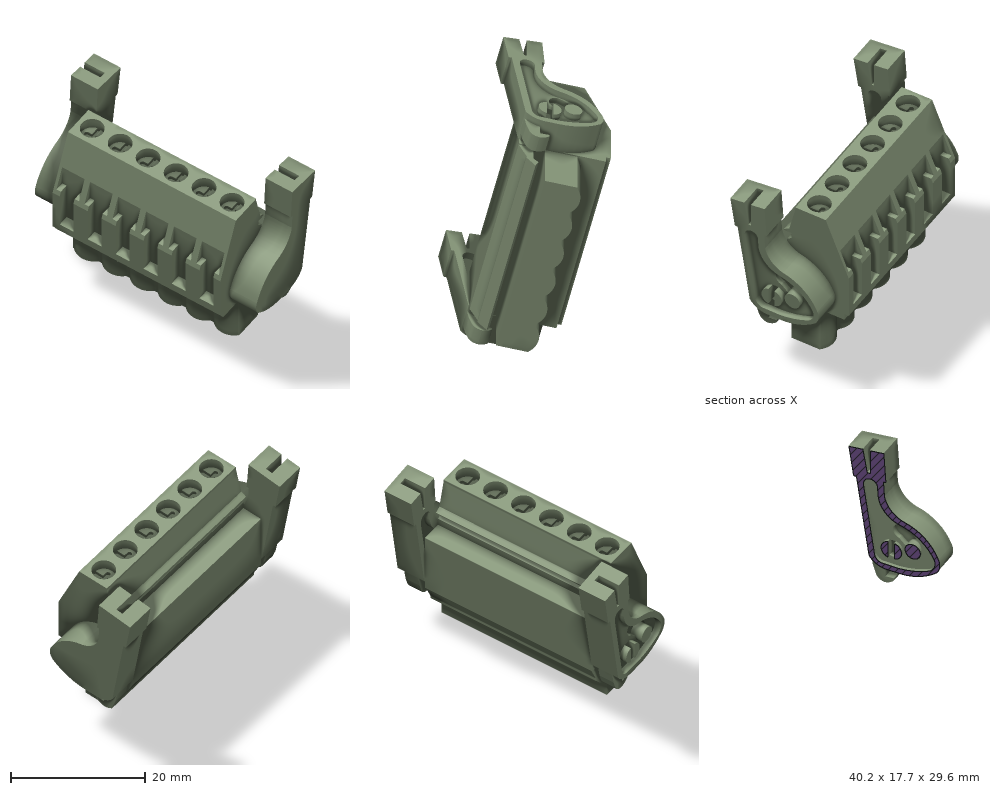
import cadquery as cq


pole_count = 6
pitch = 5.08
body_width = pole_count * pitch
pole_xs = [(i - (pole_count - 1) / 2) * pitch for i in range(pole_count)]

body_top = 18.85
roof_front = 4.01
roof_back = 9.3
roof_back_edge_z = 18.4
shoulder_z = 8.83
foot_notch_depth = 0.76
foot_notch_height = 1.17
back_depth = 14.11
shelf_z = 10.5
latch_lip_depth = 11.26
latch_lip_bottom = 13.26

opening_depth = 1.78
opening_wide_width = 4.08
opening_narrow_width = 2.5
opening_bottom = 2.47
opening_step_z = 9.61
opening_top = 13.27

plug_length = 8.43
plug_back = 10.08
plug_front = 5.08
plug_row_width = 30.1
plug_bulge = 0.95
plug_bulge_width = 4.44

screw_diameter = 3.7
screw_y = (roof_front + roof_back) / 2
screw_recess = 1.9
screw_length = 3.0
drive_depth = 0.6
cross_slot_width = 0.6
round_slot_width = 0.78
round_slot_length = 2.75

lever_thickness = 4.85
lever_span = body_width + 2 * lever_thickness
lever_starts = [-lever_span / 2, body_width / 2]
lever_bottom = -0.12
pocket_depth = 1.1
deep_recess_depth = 2.0

head_slot_length = 3.65
head_slot_floor = 16.75
head_slot_open_z = 21.5
head_slot_front = 14.09

tab_offset = 1.13
tab_width = 2.55

knob_y = 10.51
knob_z = 3.72
knob_radius = 1.5
knob_length = 3.52
knob_split = 1.05

peg_y = 6.91
peg_z = 4.7
peg_radius = 1.33


def prism(profile, x_start, width):
    """Extrude a closed YZ profile along +X from x_start."""
    return profile.extrude(width).translate((x_start, 0, 0))


def box(x_range, y_range, z_range):
    """Box between two X, two Y and two Z limits."""
    (x0, x1), (y0, y1), (z0, z1) = x_range, y_range, z_range
    return cq.Workplane("XY").box(x1 - x0, y1 - y0, z1 - z0, centered=False).translate((x0, y0, z0))


def housing_body():
    """Main block: sloped front, latch lip and shelf at the back, notch along the foot."""
    profile = cq.Workplane("YZ").polyline([
        (0, foot_notch_height),
        (0, shoulder_z),
        (roof_front, body_top),
        (roof_back, body_top),
        (roof_back, roof_back_edge_z),
        (10.36, 14.03),
        (latch_lip_depth, 13.49),
        (latch_lip_depth, latch_lip_bottom),
        (9.95, latch_lip_bottom),
        (9.95, 12.24),
        (10.73, 11.75),
        (10.73, shelf_z),
        (back_depth, shelf_z),
        (back_depth, 0),
        (foot_notch_depth, 0),
        (foot_notch_depth, foot_notch_height),
    ]).close()
    return prism(profile, -body_width / 2, body_width)


def wire_opening(x):
    """T-shaped pocket in the sloped front: wide at the top, narrow below."""
    depth = (0, opening_depth)
    wide = box(
        (x - opening_wide_width / 2, x + opening_wide_width / 2), depth, (opening_step_z, opening_top)
    )
    narrow = box(
        (x - opening_narrow_width / 2, x + opening_narrow_width / 2), depth, (opening_bottom, opening_top)
    )
    return wide.union(narrow)


def plug_row():
    """Straight-backed block under the housing with one rounded bulge per pole on its front."""
    half_row = plug_row_width / 2
    half_bulge = plug_bulge_width / 2
    outline = cq.Workplane("XY").moveTo(-half_row, plug_back).lineTo(-half_row, plug_front)
    for x in pole_xs:
        outline = outline.lineTo(x - half_bulge, plug_front).threePointArc(
            (x, plug_front - plug_bulge), (x + half_bulge, plug_front)
        )
    outline = outline.lineTo(half_row, plug_front).lineTo(half_row, plug_back).close()
    return outline.extrude(-plug_length)


def rear_hook():
    """Barbed latch hanging from the back edge of the housing."""
    profile = cq.Workplane("YZ").polyline([
        (back_depth, 0),
        (12.92, -2.61),
        (12.92, -3.1),
        (11.5, -4.76),
        (11.05, -3.67),
        (11.78, -3.02),
        (11.83, -1.15),
        (11.53, 0),
    ]).close()
    return prism(profile, -plug_row_width / 2, plug_row_width)


def screw_blank(x, top, bottom):
    """Upright cylinder of screw diameter over one pole."""
    return (
        cq.Workplane("XY", origin=(x, screw_y, bottom)).circle(screw_diameter / 2).extrude(top - bottom)
    )


screw_top = body_top - screw_recess
screw_bottom = screw_top - screw_length

housing = housing_body().union(plug_row()).union(rear_hook())
for pole_x in pole_xs:
    housing = housing.cut(wire_opening(pole_x))
    housing = housing.cut(screw_blank(pole_x, body_top, screw_bottom))


def screw(x):
    """Clamping screw with a straight slot across the head and a shorter round-ended one."""
    head = cq.Workplane("XY", origin=(x, screw_y, screw_top))
    across = head.rect(cross_slot_width, screw_diameter).extrude(-drive_depth)
    round_ended = head.slot2D(round_slot_length, round_slot_width).extrude(-drive_depth)
    return screw_blank(x, screw_top, screw_bottom).cut(across).cut(round_ended)


screws = [screw(pole_x) for pole_x in pole_xs]


def lever_outline():
    """Stepped grip head, straight arm and rounded foot."""
    return (
        cq.Workplane("YZ")
        .moveTo(17.69, 20.55)
        .lineTo(11.73, 21.22)
        .lineTo(11.37, 15.86)
        .lineTo(11.78, 15.86)
        .lineTo(11.62, 13.27)
        .threePointArc((10.81, 11.43), (8.48, 9.74))
        .threePointArc((4.88, 7.94), (2.52, 4.66))
        .threePointArc((2.33, 3.4), (2.84, 2.19))
        .threePointArc((5.43, 0.6), (9.13, lever_bottom))
        .lineTo(11.23, lever_bottom)
        .threePointArc((13.23, 0.47), (14.3, 1.53))
        .lineTo(16.41, 15.32)
        .lineTo(16.89, 15.32)
        .close()
    )


def pocket_outline():
    """Outline of the shallow pocket, roughly parallel to the lever's arm and foot."""
    return (
        cq.Workplane("YZ")
        .moveTo(15.17, 14.35)
        .threePointArc((14.0, 15.65), (12.87, 14.68))
        .lineTo(12.8, 13.2)
        .threePointArc((11.94, 10.78), (9.1, 8.83))
        .threePointArc((6.18, 7.61), (3.29, 4.29))
        .threePointArc((3.38, 2.9), (4.18, 2.1))
        .threePointArc((7.15, 1.12), (9.35, 0.84))
        .lineTo(12.19, 0.88)
        .threePointArc((12.88, 1.25), (13.29, 2.01))
        .close()
    )


def guide_slot_outline():
    """Kidney-shaped slot whose lower end is filled by the peg."""
    return (
        cq.Workplane("YZ")
        .moveTo(9.1, 8.62)
        .threePointArc((7.13, 7.5), (5.63, 5.1))
        .threePointArc((peg_y, peg_z - peg_radius), (8.23, 4.87))
        .lineTo(9.43, 5.99)
        .threePointArc((10.43, 7.2), (9.1, 8.62))
        .close()
    )


def head_slot():
    """Wedge-shaped slot in the grip head, open at the top and at the outer side."""
    profile = cq.Workplane("YZ").polyline([
        (head_slot_front, head_slot_floor),
        (head_slot_front, head_slot_open_z),
        (15.38, head_slot_open_z),
        (14.53, head_slot_floor),
    ]).close()
    return profile.extrude(head_slot_length)


def tab():
    """Hooked tab under the foot."""
    profile = (
        cq.Workplane("YZ")
        .moveTo(14.23, 1.5)
        .lineTo(13.89, -0.42)
        .lineTo(13.4, -1.88)
        .threePointArc((12.75, -2.73), (11.86, -3.02))
        .threePointArc((11.05, -2.78), (10.32, -2.2))
        .lineTo(10.32, -1.82)
        .lineTo(11.75, -1.9)
        .lineTo(11.91, 1.5)
        .close()
    )
    return prism(profile, tab_offset, tab_width)


def split_knob():
    """Two lobes, flush with the lever's face, either side of a gap."""
    lobes = cq.Workplane("YZ", origin=(0, knob_y, knob_z)).slot2D(knob_length, 2 * knob_radius)
    gap = cq.Workplane("YZ", origin=(0, knob_y, knob_z)).rect(knob_split, 2 * knob_radius)
    return lobes.extrude(pocket_depth).cut(gap.extrude(pocket_depth))


def knob_gap():
    """Deep recess between the lobes of the knob, rounded at both ends."""
    centre = cq.Workplane("YZ", origin=(0, knob_y, knob_z))
    disc = centre.circle(knob_radius).extrude(deep_recess_depth)
    return disc.intersect(centre.rect(knob_split, 2 * knob_radius).extrude(deep_recess_depth))


def lever(x_start):
    """Latch lever with its pocket on the -X side."""
    peg = cq.Workplane("YZ", origin=(0, peg_y, peg_z)).circle(peg_radius).extrude(deep_recess_depth)
    body = lever_outline().extrude(lever_thickness)
    body = body.cut(pocket_outline().extrude(pocket_depth)).cut(head_slot())
    body = body.cut(guide_slot_outline().extrude(deep_recess_depth)).cut(knob_gap())
    body = body.union(peg).union(split_knob()).union(tab())
    return body.translate((x_start, 0, 0))


levers = [lever(x_start) for x_start in lever_starts]

result = cq.Compound.makeCompound(
    [housing.val(), *[part.val() for part in screws], *[part.val() for part in levers]]
)